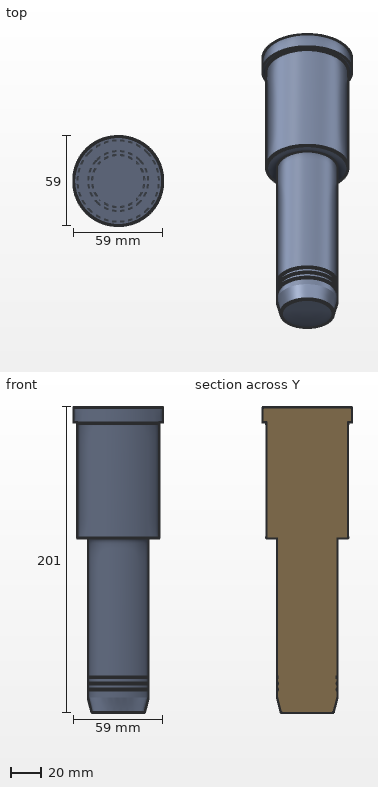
import cadquery as cq

total_length = 201.0
head_height = 10.0
body_length = 76.4
tip_height = 10.0

head_diameter = 59.0
body_diameter = 54.0
shaft_diameter = 40.0
tip_diameter = 34.8

relief_width = 1.2
relief_depth = 0.2

groove_count = 3
groove_pitch = 4.0
groove_width = 1.2
groove_depth = 0.6
lowest_groove_z = 15.5

head_chamfer = 0.6
body_chamfer = 0.6
tip_chamfer = 0.6

head_bottom_z = total_length - head_height
body_bottom_z = head_bottom_z - body_length


def cylinder(diameter, bottom_z, height):
    return cq.Workplane("XY", origin=(0, 0, bottom_z)).circle(diameter / 2).extrude(height)


def groove_cutter(diameter, depth, middle_z, width):
    """Ring with a triangular section that cuts a V groove into a cylinder."""
    radius = diameter / 2
    return (
        cq.Workplane("XZ")
        .moveTo(radius, middle_z - width / 2)
        .lineTo(radius - depth, middle_z)
        .lineTo(radius, middle_z + width / 2)
        .close()
        .revolve(360, (0, 0, 0), (0, 1, 0))
    )


def make_tip():
    """Tapered lead-in at the free end of the shaft."""
    tip = (
        cq.Workplane("XY")
        .circle(tip_diameter / 2)
        .workplane(offset=tip_height)
        .circle(shaft_diameter / 2)
        .loft(ruled=True)
    )
    return tip.faces("<Z").chamfer(tip_chamfer)


head = cylinder(head_diameter, head_bottom_z, head_height).faces(">Z").chamfer(head_chamfer)
body = cylinder(body_diameter, body_bottom_z, body_length).faces("<Z").chamfer(body_chamfer)
shaft = cylinder(shaft_diameter, tip_height, body_bottom_z - tip_height)

result = head.union(body).union(shaft).union(make_tip())

relief_z = head_bottom_z - relief_width / 2
result = result.cut(groove_cutter(body_diameter, relief_depth, relief_z, relief_width))

for index in range(groove_count):
    groove_z = lowest_groove_z + index * groove_pitch
    result = result.cut(groove_cutter(shaft_diameter, groove_depth, groove_z, groove_width))